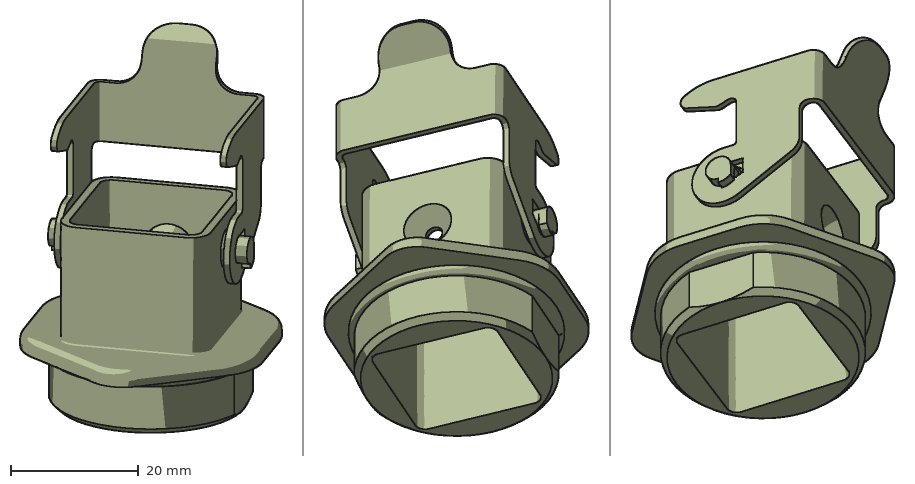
import cadquery as cq
import math

overall_height = 55.6

barrel_radius = 16.0
barrel_chamfer = 1.0
barrel_flat_offset = 15.0

ring_outer_radius = 16.9
ring_section_radius = 0.95

flange_width = 39.0
flange_length = 44.4
flange_bottom = 9.95
flange_thickness = 2.6
flange_top = flange_bottom + flange_thickness
flange_slant = 35.0
flange_tip_radius = 6.0
flange_side_radius = 9.0
flange_edge_fillet = 1.55

box_width = 24.2
box_top = 32.1
box_corner_radius = 3.3
box_base_fillet = 0.45
bore_width = 21.4
bore_corner_radius = 1.85
bore_narrowing = 0.15

screw_z = 21.6
boss_tip_y = 8.55
boss_tip_radius = 2.5
boss_root_radius = 4.1
boss_root_y = 10.75
boss_wall_embed = 0.55
boss_bottom = flange_bottom
screw_hole_radius = 1.4
countersink_start_y = 9.4
countersink_outer_radius = 4.0

sheet = 1.0
latch_half_width = 14.25
latch_back_y = 16.7
latch_front_y = -8.35
latch_inner_bend = 1.0
latch_outer_bend = latch_inner_bend + sheet
latch_inner_half_width = latch_half_width - sheet
latch_top = 46.35
back_bottom = 36.5
pivot_z = 26.45
eye_radius = 5.45
eye_bottom_slant = 30.0
arm_rear_y = 13.25
arm_front_y = 2.2
arm_rear_step_radius = 1.2
arm_rear_radius = 3.0
arm_front_foot_radius = 0.55

hook_top = (-4.15, latch_top, 8.9)
hook_nose = (-9.5, 43.25, 1.4)
hook_heel = (-1.1, 40.7, 1.2)
hook_throat = (arm_front_y, 42.0, 1.05)

tab_half_width = 6.0
tab_flare_radius = 4.0
tab_bend_radius = 11.7
tab_tip_radius = 5.0
tab_tip_depth = 5.55

pin_radius = 2.15
pin_end_x = 16.1
pin_shoulder_radius = 2.5
pin_root_cone = 0.5
key_radius = 3.0
key_thickness = 1.4
notch_y = 3.4
notch_rear_bottom = 0.6
notch_front_bottom = 1.2


def rounded_outline(plane, corners):
    """Closed outline through (u, v, radius) corners, each rounded by a tangent arc."""
    arcs = []
    for i, (u, v, radius) in enumerate(corners):
        point = cq.Vector(u, v)
        before = cq.Vector(*corners[i - 1][:2])
        after = cq.Vector(*corners[(i + 1) % len(corners)][:2])
        to_before = (before - point).normalized()
        to_after = (after - point).normalized()
        half_angle = to_before.getAngle(to_after) / 2
        setback = radius / math.tan(half_angle)
        bulge = radius / math.sin(half_angle) - radius
        middle = point + (to_before + to_after).normalized() * bulge
        arcs.append((point + to_before * setback, middle, point + to_after * setback, radius))
    outline = cq.Workplane(plane).moveTo(*arcs[-1][2].toTuple()[:2])
    for start, middle, end, radius in arcs:
        outline = outline.lineTo(*start.toTuple()[:2])
        if radius > 0:
            outline = outline.threePointArc(middle.toTuple()[:2], end.toTuple()[:2])
    return outline.close()


def both_sides(body):
    """The body together with its mirror image across the YZ plane."""
    return body.union(body.mirror("YZ"))


def make_barrel():
    barrel = cq.Workplane("XY").circle(barrel_radius).extrude(flange_bottom)
    barrel = barrel.faces("<Z").chamfer(barrel_chamfer)
    flats = cq.Workplane("XY").rect(2 * barrel_flat_offset, 2 * barrel_radius).extrude(flange_bottom)
    return barrel.intersect(flats)


def make_ring():
    """Disc with a fully rounded rim, seated against the flange."""
    rim_center = ring_outer_radius - ring_section_radius
    middle_z = flange_bottom - ring_section_radius
    bottom_z = middle_z - ring_section_radius
    return (
        cq.Workplane("XZ")
        .moveTo(0, bottom_z)
        .lineTo(rim_center, bottom_z)
        .threePointArc((ring_outer_radius, middle_z), (rim_center, flange_bottom))
        .lineTo(0, flange_bottom)
        .close()
        .revolve(360, (0, 0), (0, 1))
    )


def make_flange():
    slant = math.radians(flange_slant)
    half_width = flange_width / 2
    tip_y = flange_length / 2 + flange_tip_radius * (1 / math.cos(slant) - 1)
    side_y = tip_y - half_width * math.tan(slant)
    corners = [
        (half_width, -side_y, flange_side_radius),
        (half_width, side_y, flange_side_radius),
        (0, tip_y, flange_tip_radius),
        (-half_width, side_y, flange_side_radius),
        (-half_width, -side_y, flange_side_radius),
        (0, -tip_y, flange_tip_radius),
    ]
    plate = rounded_outline("XY", corners).extrude(flange_thickness)
    return plate.faces(">Z").edges().fillet(flange_edge_fillet).translate((0, 0, flange_bottom))


def add_box(flange):
    box = (
        cq.Workplane("XY")
        .workplane(offset=flange_bottom)
        .rect(box_width, box_width)
        .extrude(box_top - flange_bottom)
        .edges("|Z")
        .fillet(box_corner_radius)
    )
    margin = 0.05
    reach = box_width / 2 + margin
    lower_corner = (-reach, -reach, flange_top - margin)
    upper_corner = (reach, reach, flange_top + margin)
    seam = cq.selectors.BoxSelector(lower_corner, upper_corner, boundingbox=True)
    return flange.union(box).edges(seam).fillet(box_base_fillet)


def make_bore():
    taper = math.degrees(math.atan(bore_narrowing / box_top))
    half = bore_width / 2
    corners = [(u * half, v * half, bore_corner_radius) for u, v in [(1, -1), (1, 1), (-1, 1), (-1, -1)]]
    return rounded_outline("XY", corners).extrude(-box_top, taper=taper).translate((0, 0, box_top))


def make_screw_boss():
    root_y = boss_root_y + boss_wall_embed
    depth = root_y - boss_tip_y
    slope = (boss_root_radius - boss_tip_radius) / (boss_root_y - boss_tip_y)
    embedded_radius = boss_tip_radius + slope * depth

    def arch(radius, y):
        return (
            cq.Workplane("XZ", origin=(0, y, screw_z))
            .moveTo(-radius, 0)
            .threePointArc((0, radius), (radius, 0))
            .lineTo(radius, boss_bottom - screw_z)
            .lineTo(-radius, boss_bottom - screw_z)
            .close()
            .wires()
            .val()
        )

    loft = cq.Solid.makeLoft([arch(boss_tip_radius, boss_tip_y), arch(embedded_radius, root_y)], True)
    return cq.Workplane("XY").add(loft)


def make_screw_hole():
    """Screw hole through the boss and wall, countersunk from the outside."""
    face_y = box_width / 2
    return (
        cq.Workplane("XY", origin=(0, 0, screw_z))
        .polyline(
            [
                (0, boss_tip_y),
                (screw_hole_radius, boss_tip_y),
                (screw_hole_radius, countersink_start_y),
                (countersink_outer_radius, face_y),
                (0, face_y),
            ]
        )
        .close()
        .revolve(360, (0, 0), (0, 1))
    )


def make_latch_strip():
    """U of bent sheet, open towards -Y, tall enough for the arm outline."""

    def plan(half_width, back_y, bend):
        corners = [
            (half_width, latch_front_y, 0),
            (half_width, back_y, bend),
            (-half_width, back_y, bend),
            (-half_width, latch_front_y, 0),
        ]
        return rounded_outline("XY", corners).extrude(latch_top)

    outer = plan(latch_half_width, latch_back_y, latch_outer_bend)
    inner = plan(latch_inner_half_width, latch_back_y - sheet, latch_inner_bend)
    return outer.cut(inner)


def make_arm_outline():
    slant = math.radians(eye_bottom_slant)
    tangent_y = eye_radius * math.sin(slant)
    tangent_z = pivot_z - eye_radius * math.cos(slant)
    rear_z = tangent_z + (arm_rear_y - tangent_y) * math.tan(slant)
    eye_top = pivot_z + eye_radius
    corners = [
        (latch_back_y, latch_top, 0),
        hook_top,
        hook_nose,
        hook_heel,
        hook_throat,
        (arm_front_y, eye_top, arm_front_foot_radius),
        (0, eye_top, 0),
        (0, pivot_z, 0),
        (tangent_y, tangent_z, 0),
        (arm_rear_y, rear_z, arm_rear_radius),
        (arm_rear_y, back_bottom, arm_rear_step_radius),
        (latch_back_y, back_bottom, 0),
    ]
    arm = rounded_outline("YZ", corners).extrude(latch_half_width, both=True)
    eye = cq.Workplane("YZ").center(0, pivot_z).circle(eye_radius).extrude(latch_half_width, both=True)
    notch = (
        cq.Workplane("YZ")
        .center(0, pivot_z)
        .polyline(
            [
                (0, pin_radius),
                (notch_y, pin_radius),
                (notch_y, -notch_rear_bottom),
                (pin_radius, -notch_front_bottom),
                (0, -notch_front_bottom),
            ]
        )
        .close()
        .extrude(latch_half_width, both=True)
    )
    return arm.union(eye).cut(notch)


def make_tab():
    bend_angle = math.asin((overall_height - latch_top) / tab_bend_radius)
    inner_bend_radius = tab_bend_radius - sheet
    bend_center_y = latch_back_y + inner_bend_radius

    def on_bend(radius, angle):
        return (bend_center_y - radius * math.cos(angle), latch_top + radius * math.sin(angle))

    foot_half_width = tab_half_width + tab_flare_radius
    curved_sheet = (
        cq.Workplane("YZ")
        .moveTo(*on_bend(tab_bend_radius, 0))
        .threePointArc(on_bend(tab_bend_radius, bend_angle / 2), on_bend(tab_bend_radius, bend_angle))
        .lineTo(*on_bend(inner_bend_radius, bend_angle))
        .threePointArc(on_bend(inner_bend_radius, bend_angle / 2), on_bend(inner_bend_radius, 0))
        .close()
        .extrude(foot_half_width, both=True)
    )
    diagonal = tab_flare_radius * (1 - math.sqrt(0.5))
    flare_top = latch_top + tab_flare_radius
    above_tip = latch_top + tab_bend_radius
    face = (
        cq.Workplane("XZ")
        .moveTo(-foot_half_width, latch_top)
        .threePointArc((-tab_half_width - diagonal, latch_top + diagonal), (-tab_half_width, flare_top))
        .lineTo(-tab_half_width, above_tip)
        .lineTo(tab_half_width, above_tip)
        .lineTo(tab_half_width, flare_top)
        .threePointArc((tab_half_width + diagonal, latch_top + diagonal), (foot_half_width, latch_top))
        .close()
        .extrude(-2 * latch_back_y)
    )
    tip = cq.Vector(0, *on_bend(tab_bend_radius, bend_angle))
    sheet_normal = cq.Vector(0, -math.cos(bend_angle), math.sin(bend_angle))
    tip_corners = [
        (-tab_half_width, 0, tab_tip_radius),
        (tab_half_width, 0, tab_tip_radius),
        (tab_half_width, -tab_tip_depth, 0),
        (foot_half_width, -tab_tip_depth, 0),
        (foot_half_width, -2 * tab_bend_radius, 0),
        (-foot_half_width, -2 * tab_bend_radius, 0),
        (-foot_half_width, -tab_tip_depth, 0),
        (-tab_half_width, -tab_tip_depth, 0),
    ]
    tip_plane = cq.Plane(tip, (1, 0, 0), sheet_normal)
    tip_shape = rounded_outline(tip_plane, tip_corners).extrude(tab_bend_radius, both=True)
    return curved_sheet.intersect(face).intersect(tip_shape)


def make_pin():
    """Pin on the +X side: root cone, shoulder, shank through the arm, key at the end."""
    face_x = box_width / 2

    def disc(start_x, end_x, radius):
        return cq.Workplane("YZ", origin=(start_x, 0, pivot_z)).circle(radius).extrude(end_x - start_x)

    root_radius = pin_shoulder_radius + pin_root_cone
    shoulder = disc(face_x, latch_inner_half_width, pin_shoulder_radius)
    root = cq.Workplane("XY").add(
        cq.Solid.makeCone(
            root_radius, pin_shoulder_radius, pin_root_cone, cq.Vector(face_x, 0, pivot_z), cq.Vector(1, 0, 0)
        )
    )
    shank = disc(face_x, pin_end_x, pin_radius)
    key_window = (
        cq.Workplane("YZ", origin=(pin_end_x - key_thickness, 0, pivot_z))
        .rect(pin_radius, -key_radius, centered=False)
        .extrude(key_thickness)
    )
    key = disc(pin_end_x - key_thickness, pin_end_x, key_radius).intersect(key_window)
    return shoulder.union(root).union(shank).union(key)


housing = add_box(make_flange()).union(make_barrel()).union(make_ring())
housing = housing.cut(make_bore()).union(make_screw_boss()).cut(make_screw_hole())
latch = make_latch_strip().intersect(make_arm_outline()).union(make_tab())
result = housing.union(latch).union(both_sides(make_pin()))